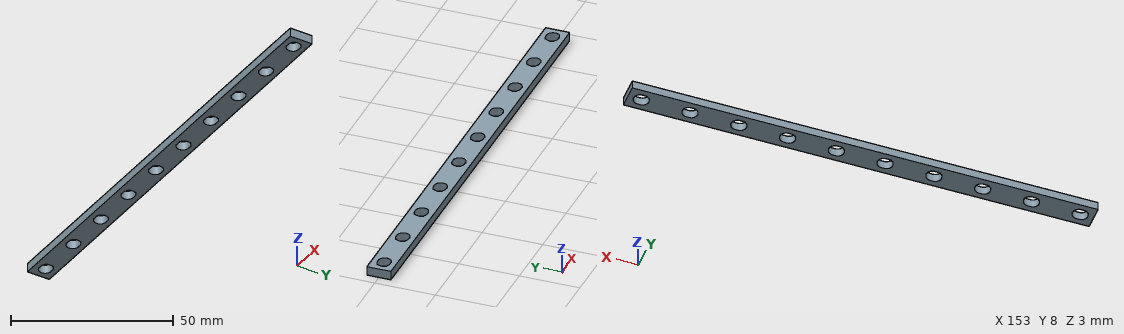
import cadquery as cq

length = 153.0
width = 8.0
thickness = 3.0

slot_count = 10
slot_length = 5.0
slot_width = 4.1
end_distance = 4.5
slot_pitch = (length - 2 * end_distance) / (slot_count - 1)

bar = cq.Workplane("XY").box(length, width, thickness)

result = (
    bar.faces(">Z")
    .workplane()
    .rarray(slot_pitch, width, slot_count, 1)
    .slot2D(slot_length, slot_width)
    .cutThruAll()
)